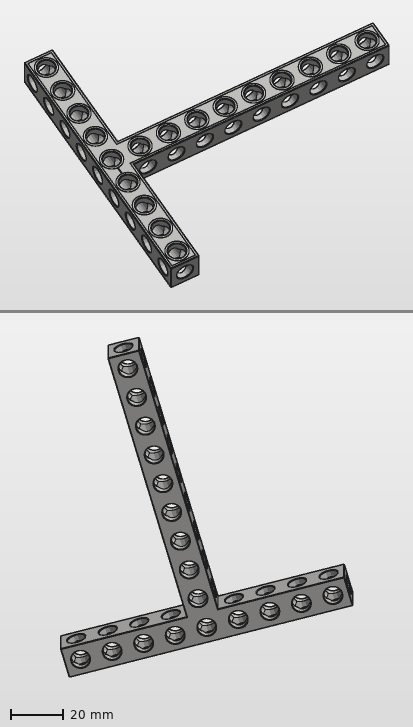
import cadquery as cq

pitch = 12.5
bar_holes = 9
stem_holes = 9
hole_diameter = 7.0
hole_chamfer = 0.3
edge_chamfer = 0.3

rim_width = 1.1
collar_diameter = 9.2
recess_depth = 0.2
ridge_width = 0.2

bar_length = bar_holes * pitch
total_depth = (stem_holes + 1) * pitch
stem_x = bar_length / 2
bar_y = pitch / 2
mid_z = pitch / 2
bar_hole_xs = [(i + 0.5) * pitch for i in range(bar_holes)]
stem_hole_ys = [bar_y + (i + 1) * pitch for i in range(stem_holes)]
top_points = [(x, bar_y) for x in bar_hole_xs] + [(stem_x, y) for y in stem_hole_ys]


def make_beam(center, size):
    """Sharp-edged block of the given size, with its bottom face centred on the given point."""
    return cq.Workplane("XY").box(*size, centered=(True, True, False)).translate(center)


def make_bar(inset, height):
    """Beam along X, with every side moved inward by the inset."""
    size = (bar_length - 2 * inset, pitch - 2 * inset, height)
    return make_beam((stem_x, bar_y, 0), size)


def make_stem(inset, height):
    """Beam along Y that starts at the front of the bar, with every side moved inward by the inset."""
    size = (pitch - 2 * inset, total_depth - 2 * inset, height)
    return make_beam((stem_x, total_depth / 2, 0), size)


def make_recess():
    """Cutter for the top recess; the collars and one thin ridge between two of them stay standing."""
    collars = cq.Workplane("XY").pushPoints(top_points).circle(collar_diameter / 2).extrude(recess_depth)
    outline = make_bar(rim_width, recess_depth).union(make_stem(rim_width, recess_depth))
    ridge = make_beam((stem_x + pitch / 2, bar_y, 0), (pitch - hole_diameter, ridge_width, recess_depth))
    return outline.cut(collars).cut(ridge).translate((0, 0, pitch - recess_depth))


def make_hole(start, direction, length):
    """Cutter for a through hole that is chamfered at both ends."""
    radius = hole_diameter / 2
    mouth_radius = radius + hole_chamfer
    begin = cq.Vector(*start)
    axis = cq.Vector(*direction)
    end = begin + axis * length
    bore = cq.Solid.makeCylinder(radius, length, begin, axis)
    near_mouth = cq.Solid.makeCone(mouth_radius, radius, hole_chamfer, begin, axis)
    far_mouth = cq.Solid.makeCone(mouth_radius, radius, hole_chamfer, end, axis * -1)
    return cq.Workplane(obj=bore.fuse(near_mouth, far_mouth))


bar = make_bar(0, pitch).edges().chamfer(edge_chamfer)
stem = make_stem(0, pitch).edges().chamfer(edge_chamfer)
result = bar.union(stem)

result = result.cut(make_recess())

for x, y in top_points:
    result = result.cut(make_hole((x, y, 0), (0, 0, 1), pitch))

for x in bar_hole_xs:
    hole_length = total_depth if x == stem_x else pitch
    result = result.cut(make_hole((x, 0, mid_z), (0, 1, 0), hole_length))

result = result.cut(make_hole((0, bar_y, mid_z), (1, 0, 0), bar_length))
for y in stem_hole_ys:
    result = result.cut(make_hole((stem_x - pitch / 2, y, mid_z), (1, 0, 0), pitch))